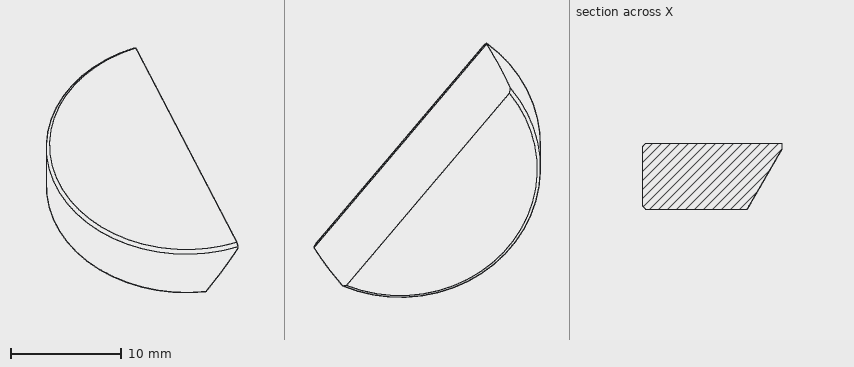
import cadquery as cq
import math

radius = 12.7
height = 6.0
rim_chamfer = 0.3
flat_height = 0.5
undercut_angle = 30.0
clearance = 1.0

reach = radius + clearance
undercut_depth = (height - flat_height) * math.tan(math.radians(undercut_angle))


def chamfered_disc():
    """Full round disc with both rims chamfered."""
    disc = cq.Workplane("XY").circle(radius).extrude(height)
    return disc.faces("<Z or >Z").edges().chamfer(rim_chamfer)


def half_profile_prism():
    """Side profile kept from the disc, with an undercut back face, across the full width."""
    return (
        cq.Workplane("YZ")
        .moveTo(-reach, 0)
        .lineTo(-undercut_depth, 0)
        .lineTo(0, height - flat_height)
        .lineTo(0, height)
        .lineTo(-reach, height)
        .close()
        .extrude(reach, both=True)
    )


result = chamfered_disc().intersect(half_profile_prism())